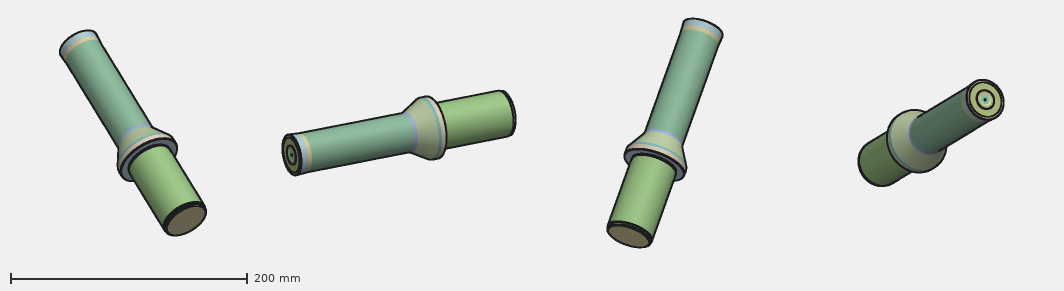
import cadquery as cq

length = 205.0
head_start = 0.5
head_end = 7.5
bar_start = 11.0
flare_start = 110.5
flare_end = 128.5
collar_end = 135.0
neck_end = 136.0
shank_end = 202.4

nose_face_diameter = 30.3
head_diameter = 35.5
head_rear_diameter = 34.6
bar_diameter = 34.0
collar_diameter = 54.0
shank_diameter = 40.0
neck_diameter = 39.5
tail_diameter = 39.0

head_chamfer = 0.5
flare_fillet = 5.1
collar_chamfer = 0.6
shank_chamfer = 0.6
tail_chamfer_length = 1.2
tail_chamfer_height = 0.8
edge_search = 0.2

plug_diameter = 16.8
plug_length = 10.3
plug_chamfer = 0.5
mark_diameter = 11.0
mark_floor_diameter = 8.2
mark_depth = 0.5
pilot_diameter = 1.2
pilot_depth = 2.0


def revolve_about_x(outline):
    """Turn a closed (x, radius) outline about the X axis."""
    return outline.revolve(360, (0, 0, 0), (1, 0, 0))


def turned_cone(start, end, start_diameter, end_diameter):
    """Frustum on the X axis between two stations."""
    outline = cq.Workplane("XY").polyline([
        (start, 0),
        (start, start_diameter / 2),
        (end, end_diameter / 2),
        (end, 0),
    ]).close()
    return revolve_about_x(outline)


def x_cylinder(start, end, diameter):
    """Cylinder on the X axis between two stations."""
    return turned_cone(start, end, diameter, diameter)


def edges_at(station):
    """Selector for the circular edges centred at one X station."""
    return cq.selectors.BoxSelector(
        (station - edge_search, -collar_diameter, -collar_diameter),
        (station + edge_search, collar_diameter, collar_diameter),
    )


def make_front():
    """Bar with a raised nose face, a tapered head and a flared collar at the rear."""
    outline = cq.Workplane("XY").polyline([
        (0, 0),
        (0, nose_face_diameter / 2),
        (head_start, nose_face_diameter / 2),
        (head_start, head_diameter / 2 - head_chamfer),
        (head_start + head_chamfer, head_diameter / 2),
        (head_end, head_rear_diameter / 2),
        (bar_start, bar_diameter / 2),
        (flare_start, bar_diameter / 2),
        (flare_end, collar_diameter / 2),
        (collar_end, collar_diameter / 2),
        (collar_end, 0),
    ]).close()
    front = revolve_about_x(outline)
    for station in (flare_start, flare_end):
        front = front.edges(edges_at(station)).fillet(flare_fillet)
    return front.faces(">X").edges().chamfer(collar_chamfer)


def make_body():
    """Front bar, relief neck, shank and reduced tail, bored for the plug."""
    neck = x_cylinder(collar_end, neck_end, neck_diameter)
    shank = x_cylinder(neck_end, shank_end, shank_diameter)
    shank = shank.faces("<X or >X").edges().chamfer(shank_chamfer)
    tail = x_cylinder(shank_end, length, tail_diameter)
    tail = tail.faces(">X").edges().chamfer(tail_chamfer_height, tail_chamfer_length)
    bore = x_cylinder(0, plug_length, plug_diameter)
    return make_front().union(neck).union(shank).union(tail).cut(bore)


def make_plug():
    """Plug flush with the nose face, with a conical recess and a pilot hole."""
    plug = x_cylinder(0, plug_length, plug_diameter)
    plug = plug.faces("<X").edges().chamfer(plug_chamfer)
    mark = turned_cone(0, mark_depth, mark_diameter, mark_floor_diameter)
    pilot = x_cylinder(0, pilot_depth, pilot_diameter)
    return plug.cut(mark).cut(pilot)


body = make_body()
plug = make_plug()
result = cq.Compound.makeCompound([body.val(), plug.val()])